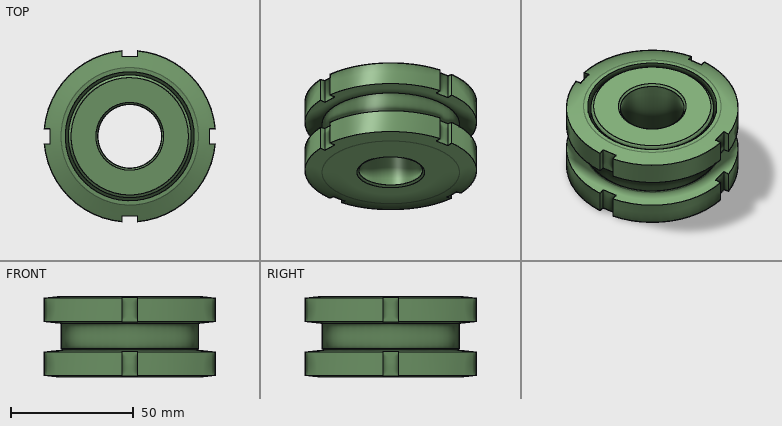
import cadquery as cq

total_height = 33.0
flange_radius = 35.0
flange_thickness = 11.0
face_radius = 28.05
face_taper = 0.8
notch_width = 6.15
notch_floor_radius = 32.6
notch_count = 4
neck_chamfer = 0.8
sleeve_bore_radius = 26.3
spindle_radius = 25.05
spindle_chamfer = 1.1
spindle_bore_radius = 13.0
bore_chamfer = 0.85

upper_flange_base = total_height - flange_thickness


def tapered_flange(base_z):
    """Disc with both faces tapering toward the rim and notches around it."""
    top_z = base_z + flange_thickness
    disc = (
        cq.Workplane("XZ")
        .moveTo(0, base_z)
        .lineTo(face_radius, base_z)
        .lineTo(flange_radius, base_z + face_taper)
        .lineTo(flange_radius, top_z - face_taper)
        .lineTo(face_radius, top_z)
        .lineTo(0, top_z)
        .close()
        .revolve(360, (0, 0, 0), (0, 1, 0))
    )
    for index in range(notch_count):
        notch = (
            cq.Workplane("XY", origin=(0, 0, base_z))
            .center(notch_floor_radius + notch_width / 2, 0)
            .rect(notch_width, notch_width)
            .extrude(flange_thickness)
            .rotate((0, 0, 0), (0, 0, 1), index * 360 / notch_count)
        )
        disc = disc.cut(notch)
    return disc


def make_sleeve():
    """Upper flange with a neck that rests on the lower flange."""
    neck = (
        cq.Workplane("XY", origin=(0, 0, flange_thickness))
        .circle(face_radius)
        .extrude(upper_flange_base - flange_thickness)
        .faces("<Z")
        .chamfer(neck_chamfer)
    )
    clearance_bore = (
        cq.Workplane("XY", origin=(0, 0, flange_thickness))
        .circle(sleeve_bore_radius)
        .extrude(total_height - flange_thickness)
    )
    return tapered_flange(upper_flange_base).union(neck).cut(clearance_bore)


def make_spindle():
    """Lower flange with a bored post standing inside the sleeve."""
    post = (
        cq.Workplane("XY")
        .circle(spindle_radius)
        .extrude(total_height)
        .faces(">Z")
        .chamfer(spindle_chamfer)
    )
    bore = cq.Workplane("XY").circle(spindle_bore_radius).extrude(total_height)
    return tapered_flange(0).union(post).cut(bore).edges(
        cq.selectors.RadiusNthSelector(0)
    ).chamfer(bore_chamfer)


sleeve = make_sleeve()
spindle = make_spindle()

result = cq.Compound.makeCompound([sleeve.val(), spindle.val()])